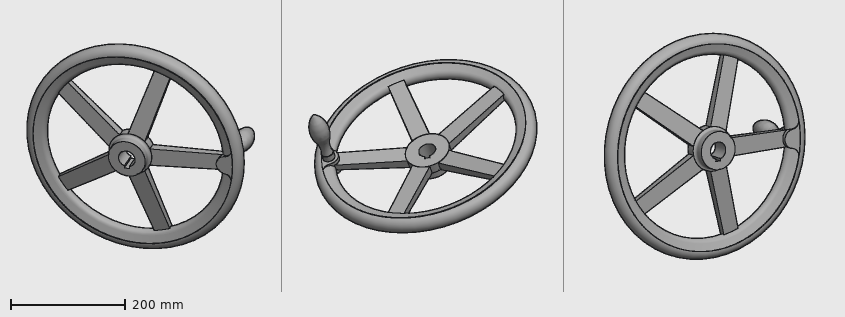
import cadquery as cq
import math

wheel_radius = 200.0
rim_half_width = 16.0
rim_crown_radius = wheel_radius - rim_half_width
rim_step = 1.5
rim_web_half_width = rim_half_width - rim_step
rim_lip_radius = 170.8
rim_lip_half_width = 10.5
rim_inner_radius = 162.8

hub_front_y = -47.5
hub_back_y = -10.5
hub_nose_radius = 34.0
hub_body_radius = 39.5
hub_fillet_radius = hub_body_radius - hub_nose_radius
hub_shoulder_y = -28.8
bore_radius = 15.0
keyway_width = 9.0
keyway_reach = 18.8

spoke_count = 5
spoke_inner_width = 32.8
spoke_outer_width = 30.0
spoke_start_radius = math.sqrt(hub_body_radius**2 - (spoke_inner_width / 2) ** 2)
spoke_end_radius = rim_lip_radius
spoke_slope = 0.19
spoke_inner_thickness = 17.0
spoke_outer_thickness = 12.0
spoke_start_front_y = hub_shoulder_y
spoke_end_front_y = spoke_start_front_y + spoke_slope * (spoke_end_radius - spoke_start_radius)

handle_x = rim_lip_radius
boss_radius = 17.0
boss_flare_radius = 13.5
collar_radius = 11.0
collar_end_y = 26.8
neck_start_radius = 10.5
neck_radius = 9.0
neck_y = 41.0
grip_start_radius = 11.5
grip_start_y = 56.5
grip_radius = 17.5
grip_y = 84.0
tip_radius = 3.5
tip_start_y = 120.8
handle_end_y = 124.5


def revolve_about_y(profile):
    return profile.close().revolve(360, (0, 0, 0), (0, 1, 0))


def make_rim():
    """Round outer crown, stepped conical webs and a rounded inner lip."""
    profile = (
        cq.Workplane("XY")
        .moveTo(rim_crown_radius, -rim_half_width)
        .threePointArc((wheel_radius, 0), (rim_crown_radius, rim_half_width))
        .lineTo(rim_crown_radius, rim_web_half_width)
        .lineTo(rim_lip_radius, rim_lip_half_width)
        .threePointArc((rim_inner_radius, 0), (rim_lip_radius, -rim_lip_half_width))
        .lineTo(rim_crown_radius, -rim_web_half_width)
    )
    return revolve_about_y(profile)


def make_hub():
    """Hub body with a narrower nose, joined by a concave fillet."""
    fillet_reach = hub_fillet_radius * (1 - math.sqrt(0.5))
    profile = (
        cq.Workplane("XY")
        .moveTo(0, hub_front_y)
        .lineTo(hub_nose_radius, hub_front_y)
        .lineTo(hub_nose_radius, hub_shoulder_y - hub_fillet_radius)
        .threePointArc(
            (hub_nose_radius + fillet_reach, hub_shoulder_y - fillet_reach),
            (hub_body_radius, hub_shoulder_y),
        )
        .lineTo(hub_body_radius, hub_back_y)
        .lineTo(0, hub_back_y)
    )
    return revolve_about_y(profile)


def spoke_section(radius, front_y, thickness, width):
    return (
        cq.Workplane("YZ", origin=(radius, front_y + thickness / 2, 0))
        .rect(thickness, width)
    )


def make_spoke():
    """Dished spoke along +X, tapering in width and thickness towards the rim."""
    start = spoke_section(
        spoke_start_radius, spoke_start_front_y, spoke_inner_thickness, spoke_inner_width
    )
    end = spoke_section(
        spoke_end_radius, spoke_end_front_y, spoke_outer_thickness, spoke_outer_width
    )
    return cq.Workplane(cq.Solid.makeLoft([start.val(), end.val()], True))


def make_bore():
    """Through bore with a keyway on the -Z side."""
    length = hub_back_y - hub_front_y
    middle_y = (hub_back_y + hub_front_y) / 2
    bore = cq.Workplane("XZ", origin=(0, hub_back_y, 0)).circle(bore_radius).extrude(length)
    keyway = (
        cq.Workplane("XY")
        .box(keyway_width, length, keyway_reach)
        .translate((0, middle_y, -keyway_reach / 2))
    )
    return bore.union(keyway)


def make_handle_boss():
    """Round boss, level with the rim step, blending into the crown circle through two concave flares."""
    boss_to_flare = boss_radius + boss_flare_radius
    axis_to_flare = rim_crown_radius - boss_flare_radius
    flare_x = (axis_to_flare**2 - boss_to_flare**2 + handle_x**2) / (2 * handle_x)
    flare_z = math.sqrt(axis_to_flare**2 - flare_x**2)

    boss_share = boss_radius / boss_to_flare
    boss_touch_x = handle_x + (flare_x - handle_x) * boss_share
    boss_touch_z = flare_z * boss_share
    crown_scale = rim_crown_radius / axis_to_flare
    crown_touch_x = flare_x * crown_scale
    crown_touch_z = flare_z * crown_scale

    middle_angle = (
        math.atan2(boss_touch_z - flare_z, boss_touch_x - flare_x)
        + math.atan2(crown_touch_z - flare_z, crown_touch_x - flare_x)
    ) / 2
    middle_x = flare_x + boss_flare_radius * math.cos(middle_angle)
    middle_z = flare_z + boss_flare_radius * math.sin(middle_angle)

    return (
        cq.Workplane("XZ", origin=(0, rim_web_half_width, 0))
        .moveTo(crown_touch_x, -crown_touch_z)
        .threePointArc((middle_x, -middle_z), (boss_touch_x, -boss_touch_z))
        .threePointArc((handle_x - boss_radius, 0), (boss_touch_x, boss_touch_z))
        .threePointArc((middle_x, middle_z), (crown_touch_x, crown_touch_z))
        .threePointArc((rim_crown_radius, 0), (crown_touch_x, -crown_touch_z))
        .close()
        .extrude(2 * rim_web_half_width)
    )


def make_handle():
    """Turned handle: collar, waisted neck, bulging grip and rounded tip."""
    profile = (
        cq.Workplane("XY")
        .lineTo(collar_radius, 0)
        .lineTo(collar_radius, collar_end_y)
        .lineTo(neck_start_radius, collar_end_y)
        .threePointArc((neck_radius, neck_y), (grip_start_radius, grip_start_y))
        .threePointArc((grip_radius, grip_y), (tip_radius, tip_start_y))
        .lineTo(0, handle_end_y)
    )
    return revolve_about_y(profile).translate((handle_x, 0, 0))


wheel = make_rim().union(make_hub())
spoke = make_spoke()
for index in range(spoke_count):
    angle = index * 360 / spoke_count
    wheel = wheel.union(spoke.rotate((0, 0, 0), (0, 1, 0), angle))

result = wheel.union(make_handle_boss()).union(make_handle()).cut(make_bore())